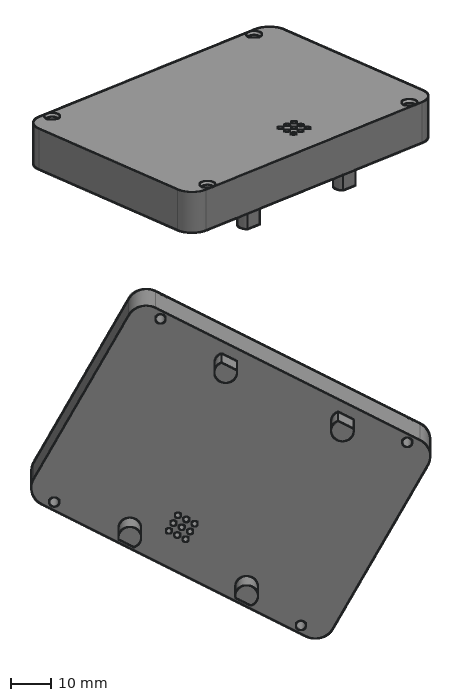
import cadquery as cq
import math

body_width = 59.7
body_length = 84.5
total_height = 17.4
leg_height = 6.2
body_height = total_height - leg_height
corner_radius = 5.0

leg_diameter = 5.7
leg_radius = leg_diameter / 2
leg_depth = 4.65
leg_edge_inset = 2.95
rear_leg_y = 14.95
front_leg_y = -18.0

screw_spacing_x = 55.7
screw_spacing_y = 69.6
screw_hole_diameter = 2.5
countersink_diameter = 4.0
countersink_angle = 90

grille_count = 3
grille_pitch = 2.4
grille_hole_diameter = 1.5
grille_center = (18.8, 3.7)


def make_body():
    slab = cq.Workplane("XY").box(body_width, body_length, body_height, centered=(True, True, False))
    return slab.edges("|Z").fillet(corner_radius)


def make_leg(side, y):
    """Return a leg; side is -1 for the -X row and +1 for the +X row."""
    flat_x = body_width / 2 - leg_edge_inset
    axis_x = flat_x - leg_depth + leg_radius
    flat_offset = flat_x - axis_x
    half_flat = math.sqrt(leg_radius**2 - flat_offset**2)
    return (
        cq.Workplane("XY")
        .moveTo(side * flat_x, y - half_flat)
        .threePointArc((side * (axis_x - leg_radius), y), (side * flat_x, y + half_flat))
        .close()
        .extrude(-leg_height)
    )


def cut_screw_holes(body):
    return (
        body.faces(">Z")
        .workplane(origin=(0, 0, body_height))
        .rarray(screw_spacing_x, screw_spacing_y, 2, 2)
        .cskHole(screw_hole_diameter, countersink_diameter, countersink_angle)
    )


def cut_grille(body):
    return (
        body.faces(">Z")
        .workplane(origin=(*grille_center, body_height))
        .rarray(grille_pitch, grille_pitch, grille_count, grille_count)
        .hole(grille_hole_diameter)
    )


result = cut_grille(cut_screw_holes(make_body()))
for side in (-1, 1):
    for leg_y in (front_leg_y, rear_leg_y):
        result = result.union(make_leg(side, leg_y))